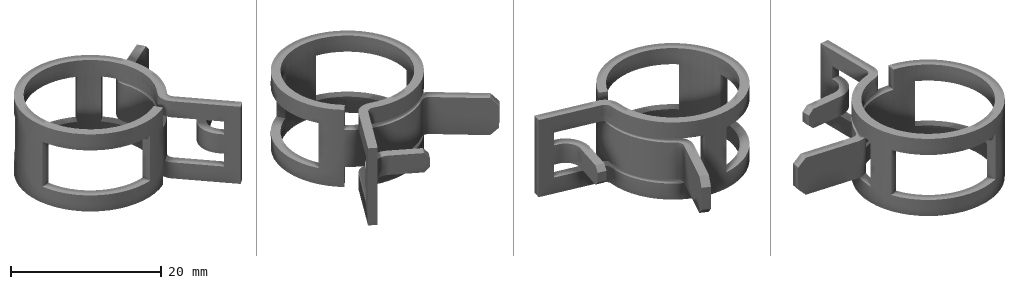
import cadquery as cq
import math


thickness = 1.3
inner_radius = 8.9
outer_radius = inner_radius + thickness
strip_height = 12.0
window_height = 7.0
tongue_height = 5.75

ear_angle = 50.0
half_width = 13.0
ear_reach = half_width / math.cos(math.radians(ear_angle))
ear_bend_radius = 1.0
ear_bend_outer = ear_bend_radius + thickness
tongue_chamfer = 1.17

wide_end_angle = 40.0
ear_window_angle = 140.0
side_windows = ((160.0, 250.0), (290.0, 380.0))

window_tip_margin = 2.25
window_end = ear_reach - window_tip_margin
tab_width = 3.0
tab_bend_radius = 2.2
tab_bend_outer = tab_bend_radius + thickness
tab_bend_start = 17.29
tab_reach = 8.99
tab_chamfer = 0.75

bend_distance = outer_radius + ear_bend_radius
bend_angle = math.degrees(math.asin(ear_bend_outer / bend_distance))
bend_center = (math.sqrt(bend_distance**2 - ear_bend_outer**2), ear_bend_outer)


def polar(radius, angle, center=(0.0, 0.0)):
    """Point at a radius and an angle in degrees about a centre."""
    a = math.radians(angle)
    return (center[0] + radius * math.cos(a), center[1] + radius * math.sin(a))


def extrude_centred(outline, height):
    return outline.extrude(height / 2, both=True)


def chamfer_tip(body, tip_selector, thickness_selector, size):
    """Cut off both corners of a flat end."""
    return body.faces(tip_selector).edges(thickness_selector).chamfer(size)


def eared_strip(ring_end, height):
    """Strip from the tip of an ear, through the bend, round the ring to ring_end (ear frame)."""
    ring_middle = (bend_angle + ring_end) / 2
    bend_first = bend_angle + 180
    bend_last = 270
    bend_middle = (bend_first + bend_last) / 2
    outline = (
        cq.Workplane("XY")
        .moveTo(ear_reach, 0)
        .lineTo(bend_center[0], 0)
        .threePointArc(polar(ear_bend_outer, bend_middle, bend_center), polar(inner_radius, bend_angle))
        .threePointArc(polar(inner_radius, ring_middle), polar(inner_radius, ring_end))
        .lineTo(*polar(outer_radius, ring_end))
        .threePointArc(polar(outer_radius, ring_middle), polar(outer_radius, bend_angle))
        .threePointArc(polar(ear_bend_radius, bend_middle, bend_center), (bend_center[0], thickness))
        .lineTo(ear_reach, thickness)
        .close()
    )
    return extrude_centred(outline, height)


def side_window(start, end):
    """Cutter for a window with radial ends, between two angles on the ring."""
    cut_inner = inner_radius - thickness
    cut_outer = outer_radius + thickness
    middle = (start + end) / 2
    outline = (
        cq.Workplane("XY")
        .moveTo(*polar(cut_inner, start))
        .lineTo(*polar(cut_outer, start))
        .threePointArc(polar(cut_outer, middle), polar(cut_outer, end))
        .lineTo(*polar(cut_inner, end))
        .threePointArc(polar(cut_inner, middle), polar(cut_inner, start))
        .close()
    )
    return extrude_centred(outline, window_height)


def ear_window():
    """Cutter for the window that runs from the ring, through the bend, into the wide ear (ear frame)."""
    ring_end = ear_window_angle - ear_angle
    corner = polar(2 * outer_radius, ring_end)
    outline = (
        cq.Workplane("XY")
        .polyline([(0, 0), (0, -thickness), (window_end, -thickness), (window_end, corner[1]), corner])
        .close()
    )
    return extrude_centred(outline, window_height)


def latch_tab():
    """Tab that leaves the end of the ear window, bends and stands square to the ear (ear frame)."""
    center = (tab_bend_start, tab_bend_outer)
    bend_middle = 225
    outer_face = tab_bend_start - tab_bend_outer
    inner_face = tab_bend_start - tab_bend_radius
    outline = (
        cq.Workplane("XY")
        .moveTo(window_end, 0)
        .lineTo(tab_bend_start, 0)
        .threePointArc(polar(tab_bend_outer, bend_middle, center), (outer_face, tab_bend_outer))
        .lineTo(outer_face, tab_reach)
        .lineTo(inner_face, tab_reach)
        .lineTo(inner_face, tab_bend_outer)
        .threePointArc(polar(tab_bend_radius, bend_middle, center), (tab_bend_start, thickness))
        .lineTo(window_end, thickness)
        .close()
    )
    return chamfer_tip(extrude_centred(outline, tab_width), ">Y", "|X", tab_chamfer)


def turn_to_ear(body):
    """Turn a body from the ear frame to its place on the ring."""
    return body.rotate((0, 0, 0), (0, 0, 1), ear_angle)


def wide_strip():
    body = eared_strip(wide_end_angle + 360 - ear_angle, strip_height)
    body = turn_to_ear(body.cut(ear_window()).union(latch_tab()))
    for start, end in side_windows:
        body = body.cut(side_window(start, end))
    return body


def tongue():
    """Narrow strip with its own ear, a mirror image of the wide ear."""
    body = eared_strip(180 - wide_end_angle - ear_angle, tongue_height)
    body = chamfer_tip(body, ">X", "|Y", tongue_chamfer)
    return turn_to_ear(body).mirror("YZ")


result = wide_strip().union(tongue())